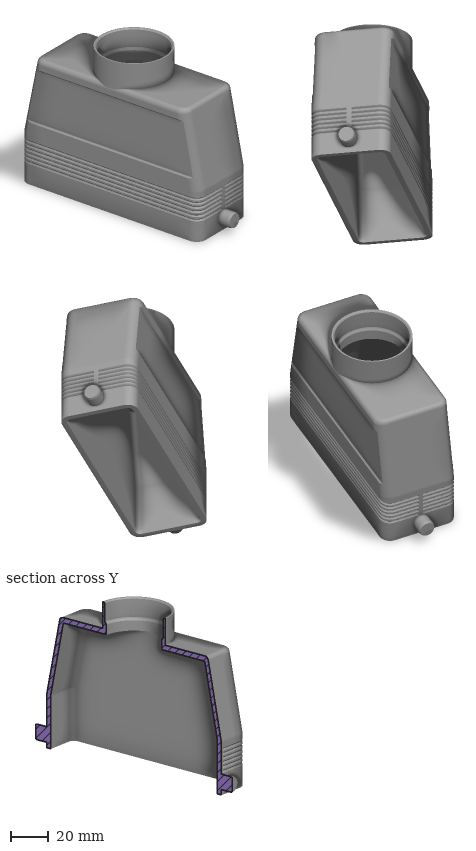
import cadquery as cq
import math

BODY_LENGTH = 120.0
BODY_WIDTH = 43.0
BODY_HEIGHT = 76.0
KNEE_HEIGHT = 30.0
END_TAPER = 11.5
KNEE_RADIUS = 6.0
CORNER_RADIUS = 6.0
TOP_RADIUS = 2.7

WALL = 3.0
CAVITY_HEIGHT = 72.7

OVERALL_HEIGHT = 91.0
COLLAR_RADIUS = BODY_WIDTH / 2
COLLAR_ROOT_DEPTH = 1.6
COLLAR_BORE_RADIUS = 20.0
COLLAR_BORE_DEPTH = 11.0
RIM_CHAMFER = 0.7
ENTRY_RADIUS = 18.9
ENTRY_OVERRUN = 1.0
SEAT_HEIGHT = 1.5

PANEL_BOTTOM = 37.0
PANEL_TOP = 70.0
PANEL_DEPTH = 0.9

GROOVE_COUNT = 6
GROOVE_PITCH = 2.5
GROOVE_FIRST_HEIGHT = 13.0
GROOVE_WIDTH = 1.5
GROOVE_DEPTH = GROOVE_WIDTH / 2
GROOVE_GAP = 2.5

PIN_SPAN = 135.0
PIN_RADIUS = 4.5
PIN_HEIGHT = 7.5
PIN_TIP_LENGTH = 1.3
PIN_TIP_INSET = 0.4


def tapered_block(half_length, width, height, knee_radius, corner_radius):
    """Block with upright ends up to the knee and leaning ends above it."""
    lean = (height - KNEE_HEIGHT) * math.tan(math.radians(END_TAPER))
    half_top = half_length - lean
    block = (
        cq.Workplane("XZ")
        .polyline([
            (-half_length, 0),
            (half_length, 0),
            (half_length, KNEE_HEIGHT),
            (half_top, height),
            (-half_top, height),
            (-half_length, KNEE_HEIGHT),
        ])
        .close()
        .extrude(width / 2, both=True)
    )
    margin = 1.0
    knee_box = cq.selectors.BoxSelector(
        (-half_length - margin, -width, KNEE_HEIGHT - margin),
        (half_length + margin, width, KNEE_HEIGHT + margin),
    )
    block = block.edges("|Y").edges(knee_box).fillet(knee_radius)
    long_side_edges = block.faces("<Y or >Y").edges("not(|X)")
    return long_side_edges.fillet(corner_radius)


def hood_body():
    body = tapered_block(BODY_LENGTH / 2, BODY_WIDTH, BODY_HEIGHT, KNEE_RADIUS, CORNER_RADIUS)
    return body.faces(">Z").edges().fillet(TOP_RADIUS)


def cavity():
    return tapered_block(
        BODY_LENGTH / 2 - WALL,
        BODY_WIDTH - 2 * WALL,
        CAVITY_HEIGHT,
        KNEE_RADIUS - WALL,
        CORNER_RADIUS - WALL,
    )


def side_panel(side):
    """Full-length shallow cut with 45 degree upper and lower flanks."""
    face_y = side * BODY_WIDTH / 2
    floor_y = face_y - side * PANEL_DEPTH
    return (
        cq.Workplane("YZ")
        .polyline([
            (face_y, PANEL_BOTTOM),
            (floor_y, PANEL_BOTTOM + PANEL_DEPTH),
            (floor_y, PANEL_TOP - PANEL_DEPTH),
            (face_y, PANEL_TOP),
        ])
        .close()
        .extrude(BODY_LENGTH / 2, both=True)
    )


def groove_core():
    """Waisted plate left inside a groove, centred on z = 0."""
    half_width = GROOVE_WIDTH / 2
    flank_angle = math.degrees(math.atan2(GROOVE_DEPTH, half_width))
    lower_half = (
        cq.Workplane("XY", origin=(0, 0, -half_width))
        .sketch()
        .rect(BODY_LENGTH, BODY_WIDTH)
        .vertices()
        .fillet(CORNER_RADIUS)
        .finalize()
        .extrude(half_width, taper=flank_angle)
    )
    return lower_half.union(lower_half.mirror("XY"))


def grip_grooves():
    """V-shaped rings around the body, interrupted at the middle of both ends."""
    oversize = 2 * GROOVE_DEPTH
    outer_plate = cq.Workplane("XY").box(BODY_LENGTH + oversize, BODY_WIDTH + oversize, GROOVE_WIDTH)
    gap = cq.Workplane("XY").box(BODY_LENGTH + 2 * oversize, GROOVE_GAP, 2 * GROOVE_WIDTH)
    groove = outer_plate.cut(groove_core()).cut(gap)
    return [
        groove.translate((0, 0, GROOVE_FIRST_HEIGHT + index * GROOVE_PITCH))
        for index in range(GROOVE_COUNT)
    ]


def collar():
    root_height = BODY_HEIGHT - COLLAR_ROOT_DEPTH
    return (
        cq.Workplane("XY", origin=(0, 0, root_height))
        .circle(COLLAR_RADIUS)
        .extrude(OVERALL_HEIGHT - root_height)
    )


def entry_bore():
    """Stepped bore through the collar and the roof into the cavity."""
    entry_bottom = CAVITY_HEIGHT - ENTRY_OVERRUN
    seat_top = OVERALL_HEIGHT - COLLAR_BORE_DEPTH
    return (
        cq.Workplane("XZ")
        .polyline([
            (0, entry_bottom),
            (ENTRY_RADIUS, entry_bottom),
            (ENTRY_RADIUS, seat_top - SEAT_HEIGHT),
            (COLLAR_BORE_RADIUS, seat_top),
            (COLLAR_BORE_RADIUS, OVERALL_HEIGHT - RIM_CHAMFER),
            (COLLAR_BORE_RADIUS + RIM_CHAMFER, OVERALL_HEIGHT),
            (0, OVERALL_HEIGHT),
        ])
        .close()
        .revolve()
    )


def locking_pin(side):
    """Round pin through one end wall, with a slightly tapered tip."""
    start = BODY_LENGTH / 2 - WALL
    tip = PIN_SPAN / 2
    return (
        cq.Workplane("XZ")
        .polyline([
            (side * start, 0),
            (side * start, PIN_RADIUS),
            (side * (tip - PIN_TIP_LENGTH), PIN_RADIUS),
            (side * tip, PIN_RADIUS - PIN_TIP_INSET),
            (side * tip, 0),
        ])
        .close()
        .revolve(360, (0, 0), (1, 0))
        .translate((0, 0, PIN_HEIGHT))
    )


result = hood_body()
for side in (-1, 1):
    result = result.cut(side_panel(side))
for groove in grip_grooves():
    result = result.cut(groove)
result = result.union(collar()).cut(cavity()).cut(entry_bore())
for side in (-1, 1):
    result = result.union(locking_pin(side))